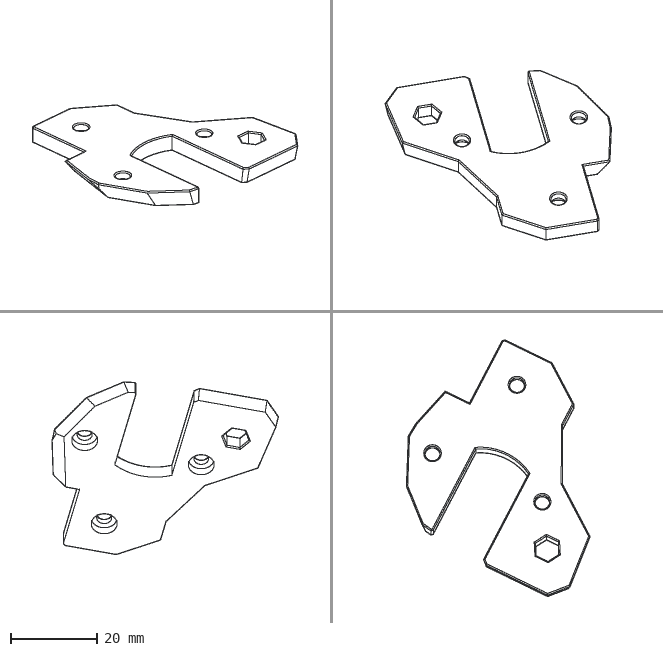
import cadquery as cq
import math

thickness = 4.0
top_chamfer = 0.3
rim_height = thickness - top_chamfer

slot_bottom = 15.4
slot_top = 29.0
slot_mouth_bottom = (48.45, slot_bottom)
slot_end_bottom = (26.5, slot_bottom)
slot_end_middle = (24.55, (slot_bottom + slot_top) / 2)
slot_end_top = (26.35, slot_top)
slot_mouth_top = (49.5, slot_top)

step_x = 17.3
step_corner = (step_x, 2.75)
belly_left = (27.3, 0.2)
belly_right = (30.9, 0)
jaw_lower = (41.8, 5.05)
jaw_upper = (48.45, 12.45)
jaw_tip = (48.85, 15.05)
east_lower = (50.45, 30.05)
east_upper = (50.45, 46.15)
north_tip = (46.2, 49.9)
north_shoulder = (33.4, 48.65)

northwest_bend = (24.95, 37.2)
west_roof_start = 6.6
west_roof_end = 12.35
west_floor = 9.1
west_bevel = 0.5
west_roof = 30.9
west_shoulder = (0, 21.85)

wall_start_overrun = 1.0
wall_end_overrun = 2.0
belly_end_overrun = 6.05
wall_cut_margin = 1.5

leaning_walls = [
    (step_corner, belly_left, 2.95, belly_end_overrun),
    (belly_left, belly_right, 1.15, wall_end_overrun),
    (belly_right, jaw_lower, 1.3, wall_end_overrun),
    (jaw_lower, jaw_upper, 0.55, wall_end_overrun),
    (slot_mouth_top, east_lower, 0.35, wall_end_overrun),
    (east_lower, east_upper, 0.6, wall_end_overrun),
    (east_upper, north_tip, 0.6, wall_end_overrun),
    (north_tip, north_shoulder, 0.55, wall_end_overrun),
]

screw_holes = [
    ((8.5, 17.0), 3.5),
    ((32.05, 6.9), 3.5),
    ((31.0, 34.95), 3.4),
]
counterbore_diameter = 6.0
counterbore_depth = 2.15

hex_center = (40.5, 41.05)
hex_across_flats = 5.3
hex_bottom_chamfer = 0.3


def make_plate():
    """Full-height plate with the slot in its outline."""
    return (
        cq.Workplane("XY")
        .moveTo(west_bevel, west_floor)
        .lineTo(step_x, west_floor)
        .lineTo(*step_corner)
        .lineTo(*belly_left)
        .lineTo(*belly_right)
        .lineTo(*jaw_lower)
        .lineTo(*jaw_upper)
        .lineTo(*jaw_tip)
        .lineTo(*slot_mouth_bottom)
        .lineTo(*slot_end_bottom)
        .threePointArc(slot_end_middle, slot_end_top)
        .lineTo(*slot_mouth_top)
        .lineTo(*east_lower)
        .lineTo(*east_upper)
        .lineTo(*north_tip)
        .lineTo(*north_shoulder)
        .lineTo(*northwest_bend)
        .lineTo(west_roof_end, west_roof)
        .lineTo(west_roof_start, west_roof)
        .lineTo(*west_shoulder)
        .lineTo(0, west_floor + west_bevel)
        .close()
        .extrude(thickness)
    )


def cylinder(center, diameter, height):
    """Upright cylinder standing on the bottom face."""
    return cq.Workplane("XY").center(*center).circle(diameter / 2).extrude(height)


def hex_prism():
    """Hexagonal prism with two flats facing along X."""
    across_corners = hex_across_flats / math.cos(math.pi / 6)
    return (
        cq.Workplane("XY", origin=(*hex_center, 0))
        .transformed(rotate=(0, 0, 90))
        .polygon(6, across_corners)
        .extrude(thickness)
    )


def hex_bottom_edges():
    """Selector for the edges of the hexagonal hole on the bottom face."""
    return cq.selectors.BoxSelector(
        (hex_center[0] - hex_across_flats, hex_center[1] - hex_across_flats, -hex_bottom_chamfer),
        (hex_center[0] + hex_across_flats, hex_center[1] + hex_across_flats, hex_bottom_chamfer),
    )


def wall_cut(start, end, inset, end_overrun):
    """Wedge outside a leaning wall; its profile is swept along the wall."""
    run_x = end[0] - start[0]
    run_y = end[1] - start[1]
    length = math.hypot(run_x, run_y)
    along = (run_x / length, run_y / length)
    outward = (along[1], -along[0], 0)
    origin = (
        start[0] - along[0] * wall_start_overrun,
        start[1] - along[1] * wall_start_overrun,
        0,
    )
    cut_length = wall_start_overrun + length + end_overrun
    plane = cq.Plane(origin=origin, xDir=outward, normal=(-along[0], -along[1], 0))
    profile = [
        (0, rim_height),
        (-inset, 0),
        (wall_cut_margin, 0),
        (wall_cut_margin, rim_height),
    ]
    return cq.Workplane(plane).polyline(profile).close().extrude(-cut_length)


result = make_plate().cut(hex_prism())
result = result.edges(hex_bottom_edges()).chamfer(hex_bottom_chamfer)

for hole_center, hole_diameter in screw_holes:
    result = result.cut(cylinder(hole_center, hole_diameter, thickness))

result = result.faces(">Z").edges().chamfer(top_chamfer)

for hole_center, _ in screw_holes:
    result = result.cut(cylinder(hole_center, counterbore_diameter, counterbore_depth))

for wall_start, wall_end, wall_inset, end_overrun in leaning_walls:
    result = result.cut(wall_cut(wall_start, wall_end, wall_inset, end_overrun))